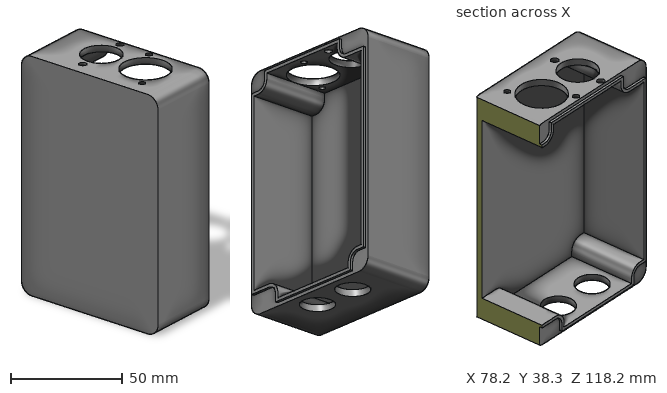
import cadquery as cq

length_x = 78.15
length_z = 118.15
body_depth = 37.0
corner_radius = 6.0
wall = 3.3

lip_height = 1.3
lip_thickness = 1.6

boss_radius = 6.0
boss_size = 11.85
wide_boss_size = 19.2

opening_y = 21.2
small_opening_x = 29.0
small_opening_diameter = 19.5
small_screw_diameter = 3.7
small_screw_offset = 13.5
large_opening_x = 54.25
large_opening_diameter = 24.0
large_screw_diameter = 3.1
large_screw_offset_x = 8.4
large_screw_offset_y = 13.1

bottom_opening_diameter = 16.2
bottom_opening_y = 25.0
bottom_opening_xs = (23.5, 47.1)

half_x = length_x / 2
half_z = length_z / 2

BOSSES = (
    (-1, 1, wide_boss_size),
    (1, 1, boss_size),
    (1, -1, wide_boss_size),
    (-1, -1, boss_size),
)


def slab(size_x, size_z, y_start, y_end):
    """Rectangular block centred on X and Z between two Y levels."""
    return cq.Workplane("XY").box(size_x, y_end - y_start, size_z).translate((0, (y_start + y_end) / 2, 0))


def opening_block(inset, y_start, y_end):
    """Block of the back opening, set in from the sides, with the rounded corner bosses cut away.

    A smaller inset follows the same outline at a constant distance outside it.
    """
    block = slab(length_x - 2 * inset, length_z - 2 * inset, y_start, y_end)
    shrink = wall - inset
    depth = y_end - y_start
    for sign_x, sign_z, width in BOSSES:
        boss = (
            cq.Workplane("XY")
            .box(2 * (width - shrink), depth, 2 * (boss_size - shrink))
            .edges("|Y")
            .fillet(boss_radius - shrink)
            .translate((sign_x * half_x, (y_start + y_end) / 2, sign_z * half_z))
        )
        block = block.cut(boss)
    return block


def wall_hole(x_from_side, y, diameter, z_centre):
    """Cylinder along Z that passes through the top or bottom wall."""
    reach = 2 * wall
    return (
        cq.Workplane("XY", origin=(x_from_side - half_x, y, z_centre - reach / 2))
        .circle(diameter / 2)
        .extrude(reach)
    )


def make_body():
    body = slab(length_x, length_z, 0, body_depth).edges("|Y").fillet(corner_radius)
    back = body_depth + lip_height
    lip = opening_block(wall - lip_thickness, body_depth, back)
    cavity = opening_block(wall, wall, back)
    return body.union(lip).cut(cavity)


def cut_top_openings(body):
    holes = [
        (small_opening_x, opening_y, small_opening_diameter),
        (large_opening_x, opening_y, large_opening_diameter),
    ]
    for side in (-1, 1):
        holes.append((small_opening_x, opening_y + side * small_screw_offset, small_screw_diameter))
        holes.append((
            large_opening_x - side * large_screw_offset_x,
            opening_y + side * large_screw_offset_y,
            large_screw_diameter,
        ))
    for x, y, diameter in holes:
        body = body.cut(wall_hole(x, y, diameter, half_z))
    return body


def cut_bottom_openings(body):
    for x in bottom_opening_xs:
        body = body.cut(wall_hole(x, bottom_opening_y, bottom_opening_diameter, -half_z))
    return body


result = cut_bottom_openings(cut_top_openings(make_body()))